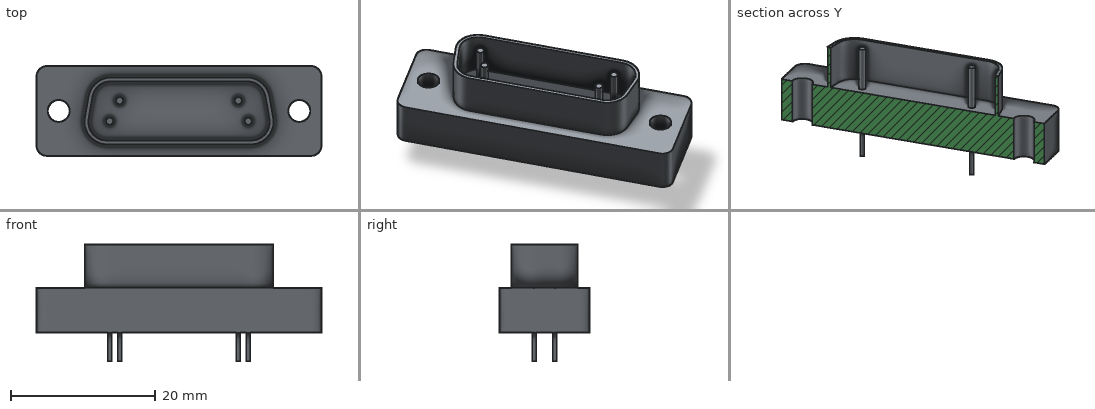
import cadquery as cq
import math

flange_length = 39.5
flange_width = 12.5
flange_height = 6.2
flange_corner_radius = 1.5
hole_diameter = 3.0
hole_spacing = 33.3

shell_length = 26.15
shell_width = 9.25
shell_height = 6.0
shell_wall = 0.5
shell_corner_radius = 3.12
side_angle = 10.0

contact_diameter = 1.0
contact_height = shell_height
tail_diameter = 0.6
tail_length = 4.0
row_spacing = 2.85
wide_row_spacing = 19.2
narrow_row_spacing = 16.45

contact_points = [
    (side * spacing / 2, row_y)
    for spacing, row_y in [
        (wide_row_spacing, -row_spacing / 2),
        (narrow_row_spacing, row_spacing / 2),
    ]
    for side in (-1, 1)
]


def d_prism(inset, height):
    """Rounded trapezoid prism on the flange, inset from the shell's outer face."""
    radius = shell_corner_radius - inset
    slope = math.radians(side_angle)
    half_width = shell_width / 2 - inset
    arc_center_x = shell_length / 2 - shell_corner_radius
    arc_center_y = shell_corner_radius - shell_width / 2

    def side_x(y):
        return arc_center_x + radius / math.cos(slope) - (y - arc_center_y) * math.tan(slope)

    wide_x = side_x(-half_width)
    narrow_x = side_x(half_width)
    outline = [
        (-wide_x, -half_width),
        (wide_x, -half_width),
        (narrow_x, half_width),
        (-narrow_x, half_width),
    ]
    return cq.Workplane("XY").polyline(outline).close().extrude(height).edges("|Z").fillet(radius)


def make_flange():
    block = cq.Workplane("XY").rect(flange_length, flange_width).extrude(-flange_height)
    block = block.edges("|Z").fillet(flange_corner_radius)
    hole_points = [(-hole_spacing / 2, 0), (hole_spacing / 2, 0)]
    holes = cq.Workplane("XY").pushPoints(hole_points).circle(hole_diameter / 2).extrude(-flange_height)
    return block.cut(holes)


def make_shell():
    return d_prism(0, shell_height).cut(d_prism(shell_wall, shell_height))


def make_pins(base_z, diameter, length):
    """One pin at every contact position; a negative length points down."""
    plane = cq.Workplane("XY").workplane(offset=base_z)
    return plane.pushPoints(contact_points).circle(diameter / 2).extrude(length)


contacts = make_pins(0, contact_diameter, contact_height)
tails = make_pins(-flange_height, tail_diameter, -tail_length)

result = make_flange().union(make_shell()).union(contacts).union(tails)